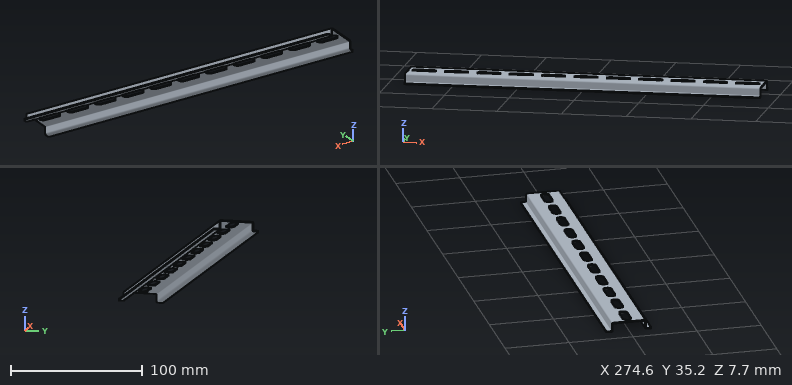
import cadquery as cq

length = 274.6
overall_width = 35.2
height = 7.7
hat_width = 27.0
thickness = 1.0
inner_bend_radius = 0.5
outer_bend_radius = inner_bend_radius + thickness
flange_corner_radius = 1.0

slot_count = 11
slot_pitch = 25.0
slot_length = 18.0
slot_width = 6.3

half_width = overall_width / 2
half_hat = hat_width / 2
half_cavity = half_hat - thickness


def make_rail():
    """Extrude the hat section along X and round its bends."""
    outline = [
        (-half_width, 0),
        (-half_cavity, 0),
        (-half_cavity, height - thickness),
        (half_cavity, height - thickness),
        (half_cavity, 0),
        (half_width, 0),
        (half_width, thickness),
        (half_hat, thickness),
        (half_hat, height),
        (-half_hat, height),
        (-half_hat, thickness),
        (-half_width, thickness),
    ]
    rail = cq.Workplane("YZ").polyline(outline).close().extrude(length / 2, both=True)

    rail = round_bend(rail, half_hat, height, outer_bend_radius)
    rail = round_bend(rail, half_cavity, height - thickness, inner_bend_radius)
    rail = round_bend(rail, half_hat, thickness, inner_bend_radius)
    rail = round_bend(rail, half_cavity, 0, outer_bend_radius)
    return round_flange_corners(rail)


def round_bend(rail, y, z, radius):
    """Fillet the lengthwise edge at (y, z) and its mirror image at (-y, z)."""
    for side in (-1, 1):
        edge = cq.selectors.NearestToPointSelector((0, side * y, z))
        rail = rail.edges(edge).fillet(radius)
    return rail


def round_flange_corners(rail):
    """Round the four plan corners of the flanges."""
    for x in (-length / 2, length / 2):
        for y in (-half_width, half_width):
            corner = cq.selectors.NearestToPointSelector((x, y, thickness / 2))
            rail = rail.edges(corner).fillet(flange_corner_radius)
    return rail


def make_slots():
    """Rounded-end slots, evenly spaced and centred on the rail."""
    return (
        cq.Workplane("XY")
        .rarray(slot_pitch, 2.7, slot_count, 1)
        .slot2D(slot_length, slot_width)
        .extrude(height)
    )


result = make_rail().cut(make_slots())